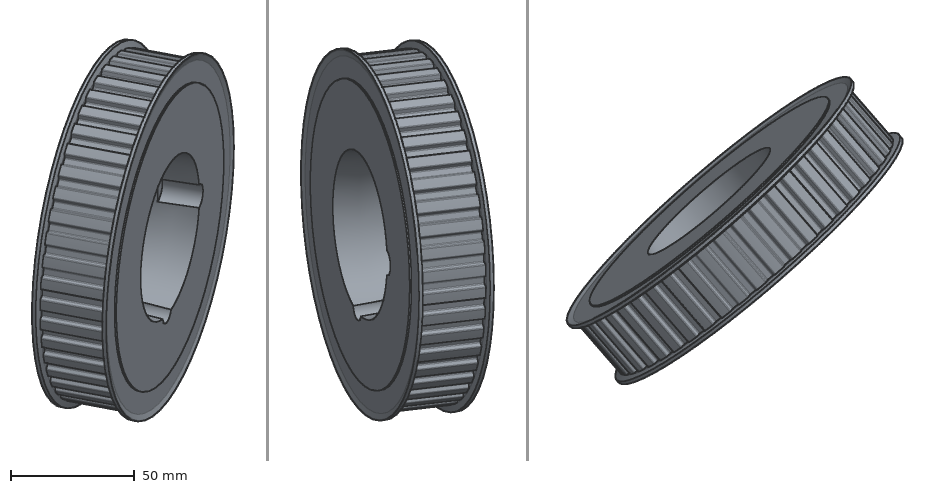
import cadquery as cq
import math


overall_width = 31.9

tooth_count = 48
tip_radius = 72.5
rim_width = 28.7
groove_depth = 2.1
groove_floor_width = 3.0
groove_flank_angle = 20.0
groove_root_fillet = 0.5
tooth_tip_fillet = 0.5
groove_cutter_overshoot = 1.5
first_groove_angle = 1.5

flange_radius = 75.5
flange_bend_radius = 72.7
flange_inner_radius = 63.5
flange_thickness = 1.7
flange_bend_offset = 0.8
flange_lip_width = 0.5

bore_small_radius = 32.5
bore_half_angle = 4.0

short_notch_radius = 5.5
short_notch_start = -1.5
short_notch_angle = 0.0
deep_notch_radius = 5.1
deep_notch_start = -9.7
deep_notch_angle = -96.1
drill_point_half_angle = 60.0

hub_face_x = overall_width / 2
flange_face_x = hub_face_x - flange_bend_offset
bore_slope = math.tan(math.radians(bore_half_angle))


def bore_radius_at(x):
    """Radius of the conical bore at a position along the axis."""
    return bore_small_radius + (x + hub_face_x) * bore_slope


def disc(radius, half_width):
    """Solid disc about the X axis, centred on the YZ plane."""
    return cq.Workplane("YZ").circle(radius).extrude(half_width, both=True)


def revolve_about_x(section):
    """Full turn of a closed (x, radius) outline about the X axis."""
    return cq.Workplane("XY").polyline(section).close().revolve(360, (0, 0, 0), (1, 0, 0))


def axis_distance(shape):
    """Distance of a shape's centre from the pulley axis."""
    centre = shape.Center()
    return math.hypot(centre.y, centre.z)


def groove_cutter():
    """Trapezoidal bar with a rounded floor, cutting a groove centred on +Y."""
    cutter_top = tip_radius + groove_cutter_overshoot
    floor_radius = tip_radius - groove_depth
    flank_slope = math.tan(math.radians(groove_flank_angle))
    half_floor = groove_floor_width / 2
    half_top = half_floor + (cutter_top - floor_radius) * flank_slope
    section = [
        (floor_radius, -half_floor),
        (cutter_top, -half_top),
        (cutter_top, half_top),
        (floor_radius, half_floor),
    ]
    bar = cq.Workplane("YZ").polyline(section).close().extrude(rim_width / 2, both=True)
    return bar.faces("<Y").edges("|X").fillet(groove_root_fillet).val()


def toothed_rim():
    """Disc with evenly spaced belt grooves and rounded tooth tips."""
    cutter = groove_cutter()
    pitch_angle = 360.0 / tooth_count
    cutters = [
        cutter.rotate((0, 0, 0), (1, 0, 0), first_groove_angle + tooth * pitch_angle)
        for tooth in range(tooth_count)
    ]
    grooves = cq.Workplane(obj=cq.Compound.makeCompound(cutters))
    rim = disc(tip_radius, rim_width / 2).cut(grooves)
    mid_flank_radius = tip_radius - groove_depth / 2
    tip_edges = rim.edges("|X").filter(lambda edge: axis_distance(edge) > mid_flank_radius)
    return tip_edges.fillet(tooth_tip_fillet)


def flange():
    """Bent sheet ring at the +X end of the rim."""
    return revolve_about_x(
        [
            (flange_face_x, flange_inner_radius),
            (flange_face_x, flange_bend_radius),
            (hub_face_x, flange_radius - flange_lip_width),
            (hub_face_x, flange_radius),
            (hub_face_x - flange_thickness, flange_radius),
            (flange_face_x - flange_thickness, flange_bend_radius),
            (flange_face_x - flange_thickness, flange_inner_radius),
        ]
    )


def bore():
    """Cone that widens from the -X face to the +X face of the hub."""
    return revolve_about_x(
        [
            (-hub_face_x, 0),
            (hub_face_x, 0),
            (hub_face_x, bore_radius_at(hub_face_x)),
            (-hub_face_x, bore_radius_at(-hub_face_x)),
        ]
    )


def notch(start_x, angle, radius):
    """Round cutter centred on the bore wall, from start_x to the +X face."""
    return (
        cq.Workplane("YZ", origin=(start_x, 0, 0))
        .center(bore_radius_at(start_x), 0)
        .circle(radius)
        .extrude(hub_face_x - start_x)
        .rotate((0, 0, 0), (1, 0, 0), angle)
    )


def drill_point(start_x, angle, radius):
    """Conical end that continues a notch towards -X, as left by a drill."""
    length = radius / math.tan(math.radians(drill_point_half_angle))
    return (
        cq.Workplane(obj=cq.Solid.makeCone(0, radius, length, dir=cq.Vector(1, 0, 0)))
        .translate((start_x - length, bore_radius_at(start_x), 0))
        .rotate((0, 0, 0), (1, 0, 0), angle)
    )


end_flange = flange()
hub = disc(flange_inner_radius, hub_face_x)
result = toothed_rim().union(hub).union(end_flange).union(end_flange.mirror("YZ"))
result = result.cut(bore())
result = result.cut(notch(short_notch_start, short_notch_angle, short_notch_radius))
result = result.cut(notch(deep_notch_start, deep_notch_angle, deep_notch_radius))
result = result.cut(drill_point(deep_notch_start, deep_notch_angle, deep_notch_radius))